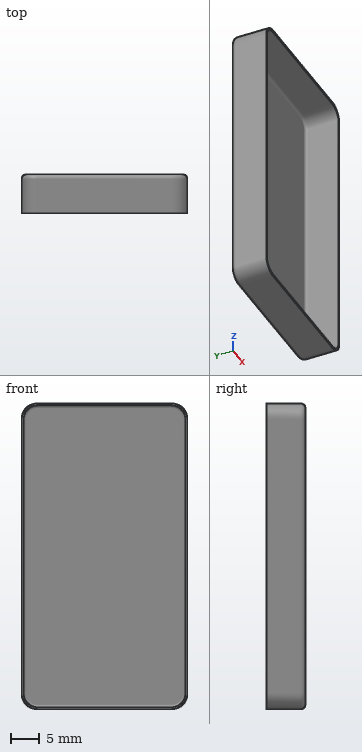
import cadquery as cq

width = 29.6
depth = 7.0
height = 54.6

corner_radius = 2.8
wall = 0.4
floor = 0.4
outer_edge_radius = 0.9
inner_edge_radius = outer_edge_radius - wall


def rounded_block(inset, front, back):
    """Upright block with rounded corners, inset from the outer walls, between two Y positions."""
    return (
        cq.Workplane("XZ", origin=(0, front, 0))
        .rect(width - 2 * inset, height - 2 * inset)
        .extrude(front - back)
        .edges("|Y")
        .fillet(corner_radius - inset)
    )


shell = rounded_block(0, 0, depth).faces(">Y").edges().fillet(outer_edge_radius)

cavity = rounded_block(wall, 0, depth - floor).faces(">Y").edges().fillet(inner_edge_radius)

result = shell.cut(cavity)